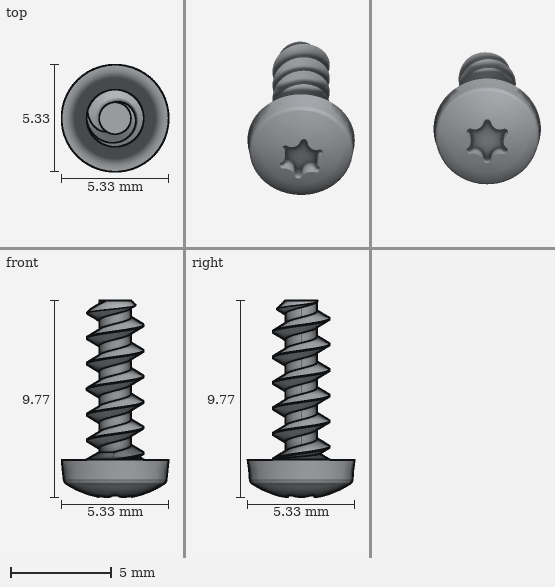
import cadquery as cq
import math


shank_length = 7.92
core_radius = 0.79
thread_radius = 1.42
pitch = 1.27
flank_angle = 30.0
crest_width = 0.05
root_overlap = 0.1
thread_start_angle = -95.0
buried_lead_in = 45.0
runout_turns = 1

head_radius = 2.665
rim_height = 1.105
head_draft = 6.0
dome_edge_radius = head_radius - rim_height * math.tan(math.radians(head_draft))
dome_sphere_radius = 4.38
head_edge_fillet = 0.27

lobe_count = 6
recess_lobe_radius = 1.155
recess_valley_radius = 0.815
lobe_end_radius = 0.19
recess_depth = 0.9
first_lobe_angle = 90.0


def dome_drop(radius):
    """Height of the dome surface above its apex at a given radius."""
    return dome_sphere_radius - math.sqrt(dome_sphere_radius**2 - radius**2)


dome_apex_z = -rim_height - dome_drop(dome_edge_radius)
recess_floor_z = dome_apex_z + dome_drop(recess_valley_radius) + recess_depth


def polar(radius, degrees):
    angle = math.radians(degrees)
    return (radius * math.cos(angle), radius * math.sin(angle))


def make_head():
    """Drafted rim closed by a spherical dome, with a rounded edge between them."""
    selection_margin = 0.01
    mid_radius = dome_edge_radius / 2
    profile = (
        cq.Workplane("XZ")
        .lineTo(head_radius, 0)
        .lineTo(dome_edge_radius, -rim_height)
        .threePointArc((mid_radius, dome_apex_z + dome_drop(mid_radius)), (0, dome_apex_z))
        .close()
    )
    head = profile.revolve(360, (0, 0, 0), (0, 1, 0))
    dome_edge = cq.selectors.BoxSelector(
        (-head_radius, -head_radius, -rim_height - selection_margin),
        (head_radius, head_radius, -rim_height + selection_margin),
        boundingbox=True,
    )
    return head.edges(dome_edge).fillet(head_edge_fillet)


def flank_rise(radial_distance):
    return radial_distance * math.tan(math.radians(flank_angle))


def make_core():
    """Plain core rising from a flank-angled cone on the seat."""
    cone_height = crest_width / 2 + flank_rise(thread_radius - core_radius)
    return (
        cq.Workplane("XZ")
        .lineTo(thread_radius, 0)
        .lineTo(thread_radius, crest_width / 2)
        .lineTo(core_radius, cone_height)
        .lineTo(core_radius, shank_length)
        .lineTo(0, shank_length)
        .close()
        .revolve(360, (0, 0, 0), (0, 1, 0))
    )


def make_thread():
    """Right-handed helical ridge, trimmed to a 45 degree chamfer at the tip."""
    root_radius = core_radius - root_overlap
    crest_half = crest_width / 2
    root_half = crest_half + flank_rise(thread_radius - root_radius)
    lead_in_drop = pitch * buried_lead_in / 360
    helix_height = shank_length + lead_in_drop + runout_turns * pitch
    helix = cq.Workplane(cq.Wire.makeHelix(pitch, helix_height, core_radius))
    ridge = (
        cq.Workplane("XZ")
        .polyline([
            (root_radius, -root_half),
            (thread_radius, -crest_half),
            (thread_radius, crest_half),
            (root_radius, root_half),
        ])
        .close()
        .sweep(helix, isFrenet=True)
        .rotate((0, 0, 0), (0, 0, 1), thread_start_angle - buried_lead_in)
        .translate((0, 0, -lead_in_drop))
    )
    return ridge.intersect(make_tip_envelope())


def make_tip_envelope():
    """Everything the thread may occupy below the tip chamfer."""
    outer_radius = thread_radius + root_overlap
    chamfer_start_z = shank_length - (outer_radius - core_radius)
    return (
        cq.Workplane("XZ")
        .moveTo(0, -rim_height)
        .lineTo(outer_radius, -rim_height)
        .lineTo(outer_radius, chamfer_start_z)
        .lineTo(core_radius, shank_length)
        .lineTo(0, shank_length)
        .close()
        .revolve(360, (0, 0, 0), (0, 1, 0))
    )


def make_recess():
    """Blind six-lobe driver recess of rounded lobes and rounded valleys, all tangent."""
    half_step = 180 / lobe_count
    cos_half_step = math.cos(math.radians(half_step))
    lobe_center_radius = recess_lobe_radius - lobe_end_radius
    valley_arc_radius = (
        lobe_center_radius**2
        + recess_valley_radius**2
        - 2 * lobe_center_radius * recess_valley_radius * cos_half_step
        - lobe_end_radius**2
    ) / (2 * (lobe_end_radius - recess_valley_radius + lobe_center_radius * cos_half_step))
    valley_center_radius = recess_valley_radius + valley_arc_radius
    touch_share = lobe_end_radius / (lobe_end_radius + valley_arc_radius)

    def touch_point(lobe_angle, valley_angle):
        lobe_x, lobe_y = polar(lobe_center_radius, lobe_angle)
        valley_x, valley_y = polar(valley_center_radius, valley_angle)
        return (
            lobe_x + touch_share * (valley_x - lobe_x),
            lobe_y + touch_share * (valley_y - lobe_y),
        )

    outline = cq.Workplane("XY", origin=(0, 0, dome_apex_z))
    outline = outline.moveTo(*touch_point(first_lobe_angle, first_lobe_angle - half_step))
    for lobe in range(lobe_count):
        angle = first_lobe_angle + 2 * half_step * lobe
        valley_angle = angle + half_step
        next_angle = valley_angle + half_step
        outline = outline.threePointArc(
            polar(recess_lobe_radius, angle), touch_point(angle, valley_angle)
        )
        outline = outline.threePointArc(
            polar(recess_valley_radius, valley_angle), touch_point(next_angle, valley_angle)
        )
    return outline.close().extrude(recess_floor_z - dome_apex_z)


result = make_head().union(make_core()).union(make_thread()).cut(make_recess())